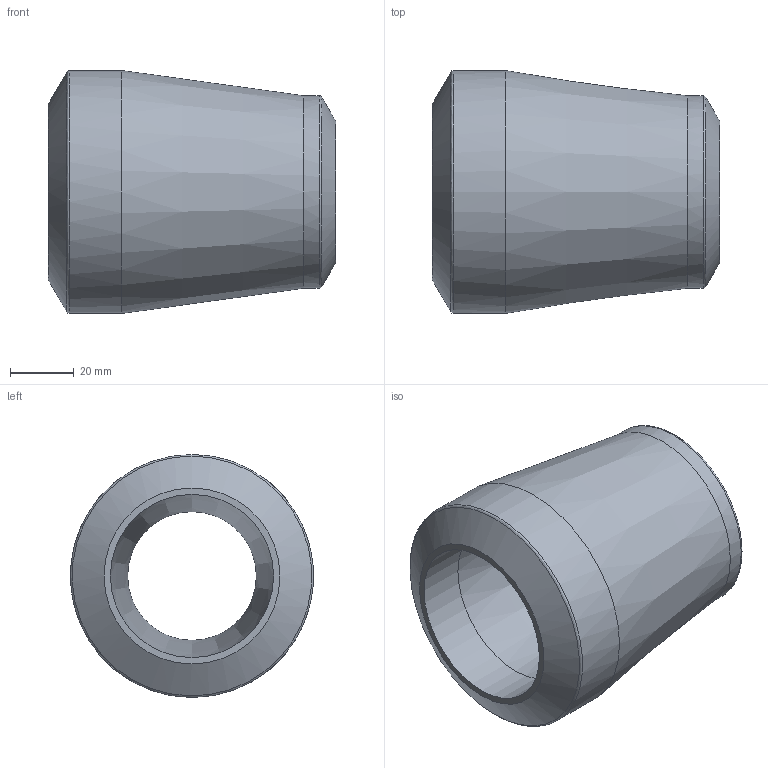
import cadquery as cq
import math

LENGTH = 90.0
LARGE_OUTER_DIAMETER = 76.1
LARGE_BORE_DIAMETER = 51.1
SMALL_OUTER_DIAMETER = 60.3
SMALL_BORE_DIAMETER = 40.3

LARGE_END_LENGTH = 23.0
LARGE_BORE_LENGTH = 15.0
SMALL_END_LENGTH = 10.0

ROOT_FACE_WIDTH = 2.0
BEVEL_ANGLE = 30.0
BEVEL_FILLET_RADIUS = 1.0

LARGE_OUTER_RADIUS = LARGE_OUTER_DIAMETER / 2
LARGE_BORE_RADIUS = LARGE_BORE_DIAMETER / 2
SMALL_OUTER_RADIUS = SMALL_OUTER_DIAMETER / 2
SMALL_BORE_RADIUS = SMALL_BORE_DIAMETER / 2

LARGE_ROOT_RADIUS = LARGE_BORE_RADIUS + ROOT_FACE_WIDTH
SMALL_ROOT_RADIUS = SMALL_BORE_RADIUS + ROOT_FACE_WIDTH
SMALL_END_START = LENGTH - SMALL_END_LENGTH


def bevel_length(outer_radius, root_radius):
    """Axial length of the bevel that falls from the outer radius to the root face."""
    return (outer_radius - root_radius) * math.tan(math.radians(BEVEL_ANGLE))


LARGE_BEVEL_END = bevel_length(LARGE_OUTER_RADIUS, LARGE_ROOT_RADIUS)
SMALL_BEVEL_START = LENGTH - bevel_length(SMALL_OUTER_RADIUS, SMALL_ROOT_RADIUS)


def revolved_wall():
    """Pipe wall section in the XZ plane, turned once around the X axis."""
    section = [
        (0, LARGE_BORE_RADIUS),
        (0, LARGE_ROOT_RADIUS),
        (LARGE_BEVEL_END, LARGE_OUTER_RADIUS),
        (LARGE_END_LENGTH, LARGE_OUTER_RADIUS),
        (SMALL_END_START, SMALL_OUTER_RADIUS),
        (SMALL_BEVEL_START, SMALL_OUTER_RADIUS),
        (LENGTH, SMALL_ROOT_RADIUS),
        (LENGTH, SMALL_BORE_RADIUS),
        (SMALL_END_START, SMALL_BORE_RADIUS),
        (LARGE_BORE_LENGTH, LARGE_BORE_RADIUS),
    ]
    return cq.Workplane("XZ").polyline(section).close().revolve(360, (0, 0, 0), (1, 0, 0))


def round_bevel_rim(body, rim_position):
    """Round the circular edge where a bevel meets the outer cylinder."""
    reach = BEVEL_FILLET_RADIUS
    rim = cq.selectors.BoxSelector(
        (rim_position - reach, -LARGE_OUTER_DIAMETER, -LARGE_OUTER_DIAMETER),
        (rim_position + reach, LARGE_OUTER_DIAMETER, LARGE_OUTER_DIAMETER),
    )
    return body.edges("%CIRCLE").edges(rim).fillet(BEVEL_FILLET_RADIUS)


result = revolved_wall()
for bevel_rim in (LARGE_BEVEL_END, SMALL_BEVEL_START):
    result = round_bevel_rim(result, bevel_rim)